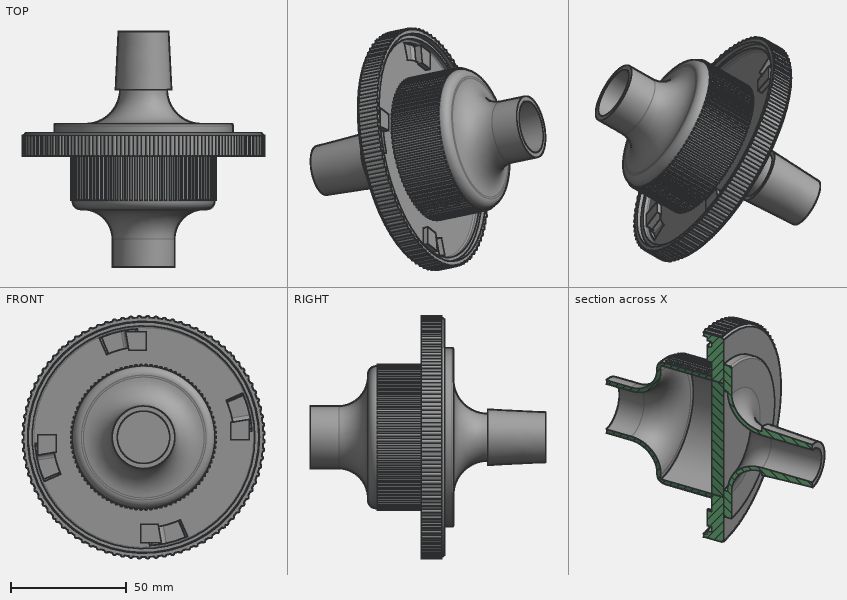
import cadquery as cq
import math


outer_size = 105.0
ring_root_radius = 51.9
ring_bump_run_count = 4
ring_bumps_per_run = 23
ring_bump_pitch_angle = 4.0
ring_run_first_angle = -46.0
ring_bump_width = 1.8
ring_depth = 10.2
ring_chamfer_depth = 1.2
ring_back_radius = 51.0
rim_mouth_radius = 50.2
rim_base_radius = 49.9
step_y = 1.8
step_inner_radius = 48.2
floor_y = 4.0
floor_fillet = 0.6

lug_count = 4
lug_outer_z = 45.7
lug_side = 8.0
lug_right_x = 1.2
lug_flank_angle = 9.6
slot_inner_radius = 39.2
slot_outer_radius = 47.0
slot_start_angle = 3.2
slot_end_angle = 24.0
slot_end_slope_angle = 1.2
slot_depth = 2.1
ramp_width = 2.0
ramp_end_slope_angle = 65.0

wall = 2.2
cup_radius = 30.9
cup_bump_height = 0.6
cup_bump_count = 90
cup_bump_width = 1.0
cup_knurl_end_y = -19.0
shoulder_y = -23.1
shoulder_fillet = 3.9
inlet_radius = 13.5
inlet_flare_radius = 12.6
inlet_tip_y = -48.0

disc_radius = 38.8
disc_thickness = 3.9
disc_fillet = 0.8
neck_radius = 10.3
taper_start_y = 28.8
taper_start_radius = 12.2
taper_tip_radius = 10.9
outlet_tip_y = 54.0

ring_bump_angles = [
    run * 360 / ring_bump_run_count + ring_run_first_angle + index * ring_bump_pitch_angle
    for run in range(ring_bump_run_count)
    for index in range(ring_bumps_per_run)
]
ring_crest_radius = outer_size / 2 / math.cos(math.radians(ring_bump_pitch_angle / 2))
cup_bump_angles = [index * 360 / cup_bump_count for index in range(cup_bump_count)]
slot_floor_y = floor_y + slot_depth
filter_radius = cup_radius - wall
flare_start_y = shoulder_y - inlet_flare_radius
inlet_bore_radius = inlet_radius - wall
flare_outer_radius = inlet_radius + inlet_flare_radius
cup_ceiling_y = shoulder_y + wall
disc_back_y = ring_depth + disc_thickness
outlet_flare_radius = taper_start_y - disc_back_y
outlet_flare_outer_radius = neck_radius + outlet_flare_radius
outlet_bore_radius = neck_radius - wall
arc_middle = math.sqrt(0.5)


def plane_facing_inlet(y):
    """Workplane at height y whose local axes are X and Z and whose normal is -Y."""
    return cq.Workplane("XZ", origin=(0, y, 0))


def revolved(profile):
    """Full turn of a closed radius / y profile about the Y axis."""
    return profile.close().revolve(360, (0, 0), (0, 1))


def turned(body, degrees):
    """Turn a body about Y, counter-clockwise as seen from the inlet."""
    return body.rotate((0, 0, 0), (0, -1, 0), degrees)


def polar(radius, degrees):
    """Point at an angle from +X, in the X, Z plane."""
    angle = math.radians(degrees)
    return radius * math.cos(angle), radius * math.sin(angle)


def knurled_prism(start_y, end_y, root_radius, crest_radius, width, crest_angles):
    """Cylinder along Y with rounded bumps at the given angles on its side."""
    half_angle = math.degrees(width / 2 / root_radius)
    next_angles = crest_angles[1:] + [crest_angles[0] + 360]
    outline = plane_facing_inlet(end_y).moveTo(*polar(root_radius, crest_angles[0] - half_angle))
    for angle, next_angle in zip(crest_angles, next_angles):
        outline = outline.threePointArc(
            polar(crest_radius, angle), polar(root_radius, angle + half_angle)
        )
        outline = outline.threePointArc(
            polar(root_radius, (angle + next_angle) / 2),
            polar(root_radius, next_angle - half_angle),
        )
    return outline.close().extrude(end_y - start_y)


def slot_outline(workplane, start_angle, end_angle):
    """Part of an annulus, with its angles measured from +Z."""
    start = 90 + start_angle
    end = 90 + end_angle
    middle = (start + end) / 2
    return (
        workplane.moveTo(*polar(slot_inner_radius, start))
        .lineTo(*polar(slot_outer_radius, start))
        .threePointArc(polar(slot_outer_radius, middle), polar(slot_outer_radius, end))
        .lineTo(*polar(slot_inner_radius, end))
        .threePointArc(polar(slot_inner_radius, middle), polar(slot_inner_radius, start))
        .close()
    )


def make_slot():
    """Cutter for one slot, whose two ends slope inwards towards its floor."""
    floor = slot_outline(
        plane_facing_inlet(slot_floor_y),
        slot_start_angle + slot_end_slope_angle,
        slot_end_angle - slot_end_slope_angle,
    )
    mouth = slot_outline(floor.workplane(offset=slot_depth), slot_start_angle, slot_end_angle)
    return mouth.loft(ruled=True, combine=True)


def make_lug():
    """Square lug with one radial flank, reaching down to the slot floor."""
    flank_slope = math.tan(math.radians(lug_flank_angle))
    lug_inner_z = lug_outer_z - lug_side
    outline = [
        (lug_right_x, lug_inner_z),
        (lug_right_x, lug_outer_z),
        (-lug_outer_z * flank_slope, lug_outer_z),
        (-lug_inner_z * flank_slope, lug_inner_z),
    ]
    return plane_facing_inlet(slot_floor_y).polyline(outline).close().extrude(slot_floor_y - step_y)


def make_ramp(slot):
    """Concave ramp that rises from the slot floor to the lug flank."""
    end_slope = math.radians(ramp_end_slope_angle)
    ramp_radius = ramp_width / math.sin(end_slope)
    middle_width = ramp_radius * math.sin(end_slope / 2)
    middle_rise = ramp_radius * (1 - math.cos(end_slope / 2))
    end_rise = ramp_radius * (1 - math.cos(end_slope))
    ramp = (
        cq.Workplane("XY", origin=(0, 0, slot_inner_radius - ramp_width))
        .moveTo(0, slot_floor_y)
        .lineTo(-ramp_width, slot_floor_y)
        .threePointArc(
            (middle_width - ramp_width, slot_floor_y - middle_rise),
            (0, slot_floor_y - end_rise),
        )
        .close()
        .extrude(slot_outer_radius - slot_inner_radius + 2 * ramp_width)
    )
    return turned(ramp, lug_flank_angle).intersect(slot)


def make_lock_ring():
    knurl_end_y = ring_depth - ring_chamfer_depth
    ring = knurled_prism(
        0, knurl_end_y, ring_root_radius, ring_crest_radius,
        ring_bump_width, ring_bump_angles,
    )
    chamfered_back = revolved(
        cq.Workplane("XY")
        .moveTo(0, knurl_end_y)
        .lineTo(ring_root_radius, knurl_end_y)
        .lineTo(ring_back_radius, ring_depth)
        .lineTo(0, ring_depth)
    )
    fillet_middle = floor_fillet * (1 - arc_middle)
    recess = revolved(
        cq.Workplane("XY")
        .lineTo(rim_mouth_radius, 0)
        .lineTo(rim_base_radius, step_y)
        .lineTo(step_inner_radius, step_y)
        .lineTo(step_inner_radius, floor_y - floor_fillet)
        .threePointArc(
            (step_inner_radius - fillet_middle, floor_y - fillet_middle),
            (step_inner_radius - floor_fillet, floor_y),
        )
        .lineTo(0, floor_y)
    )
    filter_seat = plane_facing_inlet(ring_depth).circle(filter_radius).extrude(ring_depth)
    ring = ring.union(chamfered_back).cut(recess).cut(filter_seat)

    slot = make_slot()
    lug = make_lug().union(make_ramp(slot))
    for index in range(lug_count):
        angle = index * 360 / lug_count
        ring = ring.cut(turned(slot, angle)).union(turned(lug, angle))
    return ring


def make_filter():
    return plane_facing_inlet(ring_depth).circle(filter_radius).extrude(ring_depth - floor_y)


def make_inlet_housing():
    cup = knurled_prism(
        cup_knurl_end_y, floor_y, cup_radius, cup_radius + cup_bump_height,
        cup_bump_width, cup_bump_angles,
    )
    shoulder_flat_radius = cup_radius - shoulder_fillet
    shoulder_middle = shoulder_fillet * arc_middle
    flare_middle = inlet_flare_radius * arc_middle
    bore_flare_middle = (inlet_flare_radius + wall) * arc_middle
    dome = revolved(
        cq.Workplane("XY")
        .moveTo(0, cup_knurl_end_y)
        .lineTo(cup_radius, cup_knurl_end_y)
        .lineTo(cup_radius, shoulder_y + shoulder_fillet)
        .threePointArc(
            (shoulder_flat_radius + shoulder_middle, shoulder_y + shoulder_fillet - shoulder_middle),
            (shoulder_flat_radius, shoulder_y),
        )
        .lineTo(flare_outer_radius, shoulder_y)
        .threePointArc(
            (flare_outer_radius - flare_middle, flare_start_y + flare_middle),
            (inlet_radius, flare_start_y),
        )
        .lineTo(inlet_radius, inlet_tip_y)
        .lineTo(0, inlet_tip_y)
    )
    airway = revolved(
        cq.Workplane("XY")
        .moveTo(0, inlet_tip_y)
        .lineTo(inlet_bore_radius, inlet_tip_y)
        .lineTo(inlet_bore_radius, flare_start_y)
        .threePointArc(
            (flare_outer_radius - bore_flare_middle, flare_start_y + bore_flare_middle),
            (flare_outer_radius, cup_ceiling_y),
        )
        .lineTo(filter_radius, cup_ceiling_y)
        .lineTo(filter_radius, floor_y)
        .lineTo(0, floor_y)
    )
    return cup.union(dome).cut(airway)


def make_outlet_housing():
    flare_middle = outlet_flare_radius * arc_middle
    bore_flare_middle = (outlet_flare_radius + wall) * arc_middle
    rounding_middle = disc_fillet * (1 - arc_middle)
    shell = revolved(
        cq.Workplane("XY")
        .moveTo(0, ring_depth)
        .lineTo(disc_radius, ring_depth)
        .lineTo(disc_radius, disc_back_y - disc_fillet)
        .threePointArc(
            (disc_radius - rounding_middle, disc_back_y - rounding_middle),
            (disc_radius - disc_fillet, disc_back_y),
        )
        .lineTo(outlet_flare_outer_radius, disc_back_y)
        .threePointArc(
            (outlet_flare_outer_radius - flare_middle, taper_start_y - flare_middle),
            (neck_radius, taper_start_y),
        )
        .lineTo(taper_start_radius, taper_start_y)
        .lineTo(taper_tip_radius, outlet_tip_y)
        .lineTo(0, outlet_tip_y)
    )
    airway = revolved(
        cq.Workplane("XY")
        .moveTo(0, ring_depth)
        .lineTo(outlet_flare_outer_radius, ring_depth)
        .lineTo(outlet_flare_outer_radius, disc_back_y - wall)
        .threePointArc(
            (outlet_flare_outer_radius - bore_flare_middle, taper_start_y - bore_flare_middle),
            (outlet_bore_radius, taper_start_y),
        )
        .lineTo(outlet_bore_radius, outlet_tip_y)
        .lineTo(0, outlet_tip_y)
    )
    return shell.cut(airway)


lock_ring = make_lock_ring()
filter_disc = make_filter()
inlet_housing = make_inlet_housing()
outlet_housing = make_outlet_housing()

result = cq.Compound.makeCompound(
    [lock_ring.val(), filter_disc.val(), inlet_housing.val(), outlet_housing.val()]
)